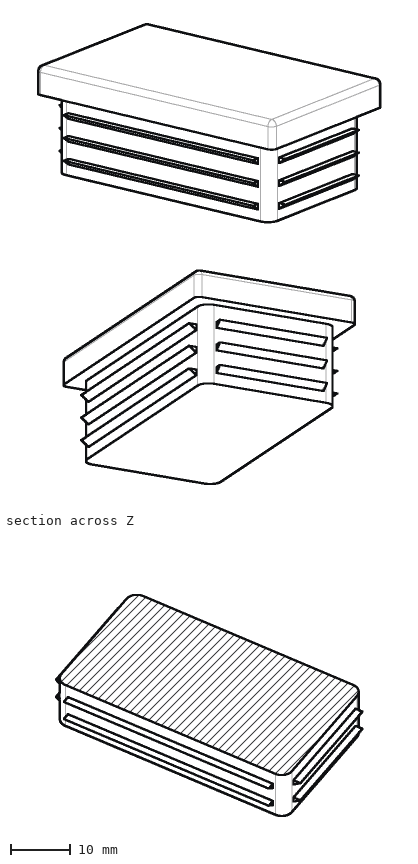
import cadquery as cq

cap_length = 50.0
cap_width = 30.0
cap_height = 5.0
cap_rounding = 1.0

plug_inset = 2.5
plug_length = cap_length - 2 * plug_inset
plug_width = cap_width - 2 * plug_inset
plug_height = 14.0
plug_corner_radius = 2.0

rib_end_gap = 2.5
rib_reach = 1.35
rib_thickness = 1.0
rib_count = 3
rib_pitch = 4.0
lowest_rib_top = 3.0
rib_embed = 0.5


def make_cap():
    """Rectangular cap with rounded upright and top edges."""
    block = cq.Workplane("XY").workplane(offset=plug_height)
    block = block.rect(cap_length, cap_width).extrude(cap_height)
    return block.edges("|Z or >Z").fillet(cap_rounding)


def make_plug():
    """Solid plug with rounded upright corners."""
    block = cq.Workplane("XY").rect(plug_length, plug_width).extrude(plug_height)
    return block.edges("|Z").fillet(plug_corner_radius)


def make_rib(wall_distance, rib_length, top):
    """Triangular rib running along Y on the wall at x = wall_distance."""
    bottom = top - rib_thickness
    profile = [
        (wall_distance - rib_embed, bottom),
        (wall_distance, bottom),
        (wall_distance + rib_reach, top),
        (wall_distance - rib_embed, top),
    ]
    section = cq.Workplane("XZ").polyline(profile).close()
    return section.extrude(rib_length / 2, both=True)


result = make_cap().union(make_plug())

end_rib_length = plug_width - 2 * rib_end_gap
side_rib_length = plug_length - 2 * rib_end_gap
for level in range(rib_count):
    rib_top = lowest_rib_top + level * rib_pitch
    end_rib = make_rib(plug_length / 2, end_rib_length, rib_top)
    side_rib = make_rib(plug_width / 2, side_rib_length, rib_top)
    for rib, turn in ((end_rib, 0), (side_rib, 90), (end_rib, 180), (side_rib, 270)):
        result = result.union(rib.rotate((0, 0, 0), (0, 0, 1), turn))